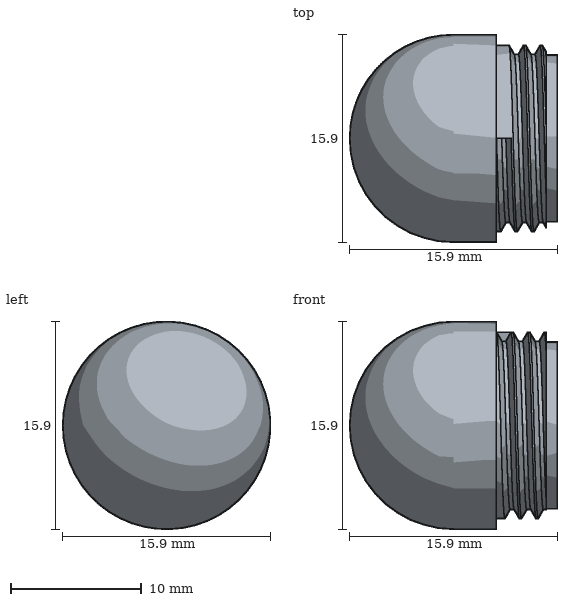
import cadquery as cq
import math

dome_radius = 7.94
overall_length = 15.88
collar_length = 3.27
neck_length = 0.85
neck_radius = 6.38

thread_radius = 7.13
pitch = 1.27
crest_width = pitch / 8
root_width = pitch / 4
flank_angle = 30.0
groove_turns = 3
groove_start_gap = 0.02
tool_overshoot = 0.06

shoulder_x = collar_length
end_x = overall_length - dome_radius
thread_end_x = end_x - neck_length

groove_width = pitch - crest_width
flank_slope = math.tan(math.radians(flank_angle))
groove_depth = (groove_width - root_width) / 2 / flank_slope
root_radius = thread_radius - groove_depth
groove_start_x = shoulder_x + groove_start_gap + groove_width / 2


def dome_and_collar():
    """Hemisphere that runs on into a cylinder of the same radius."""
    return (
        cq.Workplane("XY")
        .moveTo(-dome_radius, 0)
        .radiusArc((0, dome_radius), dome_radius)
        .lineTo(shoulder_x, dome_radius)
        .lineTo(shoulder_x, 0)
        .close()
        .revolve(360, (0, 0, 0), (1, 0, 0))
    )


def rod(start_x, stop_x, radius):
    """Solid cylinder along X."""
    return cq.Workplane("YZ", origin=(start_x, 0, 0)).circle(radius).extrude(stop_x - start_x)


def groove_turn(start_x):
    """Cutter for one turn of groove, starting at the top and winding towards +X."""
    path = cq.Wire.makeHelix(pitch, pitch, root_radius)
    outer_half = root_width / 2 + (groove_depth + tool_overshoot) * flank_slope
    outer_radius = thread_radius + tool_overshoot
    cutter = (
        cq.Workplane("XZ")
        .polyline([
            (root_radius, -root_width / 2),
            (outer_radius, -outer_half),
            (outer_radius, outer_half),
            (root_radius, root_width / 2),
        ])
        .close()
        .sweep(cq.Workplane(path), isFrenet=True)
    )
    return (
        cutter
        .rotate((0, 0, 0), (0, 1, 0), 90)
        .rotate((0, 0, 0), (1, 0, 0), 180)
        .translate((start_x, 0, 0))
    )


def threaded_section():
    """Cylinder behind the collar with the groove cut into it, one turn at a time."""
    section = rod(shoulder_x, thread_end_x, thread_radius)
    for turn in range(groove_turns):
        section = section.cut(groove_turn(groove_start_x + turn * pitch))
    return section


neck = rod(thread_end_x, end_x, neck_radius)

result = dome_and_collar().union(threaded_section()).union(neck)